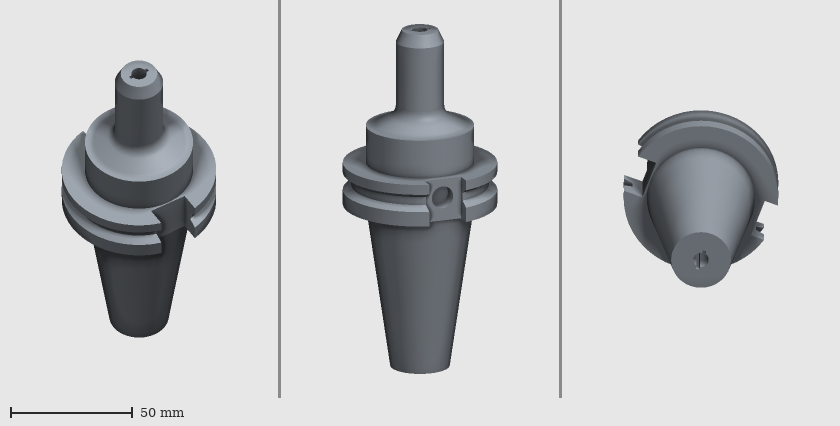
import cadquery as cq
import math

total_height = 144.5
taper_height = 68.5
taper_top_radius = 22.2
taper_bottom_radius = taper_top_radius - taper_height * 7 / 48

flange_radius = 31.8
flange_bottom = 69.5
flange_top = 87.4
groove_center = 79.5
groove_floor_radius = 28.3
groove_floor_width = 3.5
groove_wall_angle = math.radians(30)

slot_width = 16.2
left_slot_floor = 25.0
right_slot_floor = 22.7
dimple_diameter = 9.4
dimple_depth = 5.8

hub_radius = 22.2
hub_top = 103.4
shoulder_angle = math.radians(30)
shoulder_outer_radius = 21.1
blend_radius = 5.0
nose_radius = 10.0
tip_radius = 7.5
tip_height = 5.0

bore_diameter = 6.4
keyway_width = 1.5
keyway_span = 8.7


def arc_point(center, angle):
    """Point on a blend arc at an angle measured from the +radius direction."""
    return (
        center[0] + blend_radius * math.cos(angle),
        center[1] + blend_radius * math.sin(angle),
    )


def turned_body():
    groove_half_floor = groove_floor_width / 2
    groove_depth = flange_radius - groove_floor_radius
    groove_half_mouth = groove_half_floor + groove_depth * math.tan(groove_wall_angle)

    lower_center = (shoulder_outer_radius, hub_top + blend_radius)
    down = -math.pi / 2
    cone_normal = down - shoulder_angle
    cone_bottom = arc_point(lower_center, cone_normal)

    upper_center_radius = nose_radius + blend_radius
    cone_top_radius = upper_center_radius + blend_radius * math.cos(cone_normal)
    cone_top_height = cone_bottom[1] + (cone_bottom[0] - cone_top_radius) * math.tan(shoulder_angle)
    upper_center = (upper_center_radius, cone_top_height - blend_radius * math.sin(cone_normal))

    return (
        cq.Workplane("XZ")
        .moveTo(0, 0)
        .lineTo(taper_bottom_radius, 0)
        .lineTo(taper_top_radius, taper_height)
        .lineTo(taper_top_radius, flange_bottom)
        .lineTo(flange_radius, flange_bottom)
        .lineTo(flange_radius, groove_center - groove_half_mouth)
        .lineTo(groove_floor_radius, groove_center - groove_half_floor)
        .lineTo(groove_floor_radius, groove_center + groove_half_floor)
        .lineTo(flange_radius, groove_center + groove_half_mouth)
        .lineTo(flange_radius, flange_top)
        .lineTo(hub_radius, flange_top)
        .lineTo(hub_radius, hub_top)
        .lineTo(shoulder_outer_radius, hub_top)
        .threePointArc(arc_point(lower_center, (down + cone_normal) / 2), cone_bottom)
        .lineTo(cone_top_radius, cone_top_height)
        .threePointArc(
            arc_point(upper_center, (cone_normal - math.pi) / 2),
            (nose_radius, upper_center[1]),
        )
        .lineTo(nose_radius, total_height - tip_height)
        .lineTo(tip_radius, total_height)
        .lineTo(0, total_height)
        .close()
        .revolve(360, (0, 0, 0), (0, 1, 0))
    )


def drive_slot(side, floor_distance):
    """Cutter for one slot; side is -1 for the -X rim and +1 for the +X rim."""
    slot_depth = flange_radius - floor_distance
    return (
        cq.Workplane("XY")
        .box(slot_depth, slot_width, flange_top - flange_bottom)
        .translate((side * (floor_distance + slot_depth / 2), 0, (flange_bottom + flange_top) / 2))
    )


def slot_dimple():
    """Cutter for the round blind hole in the floor of the -X slot."""
    return (
        cq.Workplane("YZ", origin=(-left_slot_floor, 0, 0))
        .center(0, groove_center)
        .circle(dimple_diameter / 2)
        .extrude(dimple_depth)
    )


def keyed_bore():
    bore = cq.Workplane("XY").circle(bore_diameter / 2).extrude(total_height)
    keyways = cq.Workplane("XY").rect(keyway_width, keyway_span).extrude(total_height)
    return bore.union(keyways)


result = turned_body()
for side, floor_distance in ((-1, left_slot_floor), (1, right_slot_floor)):
    result = result.cut(drive_slot(side, floor_distance))
result = result.cut(slot_dimple())
result = result.cut(keyed_bore())